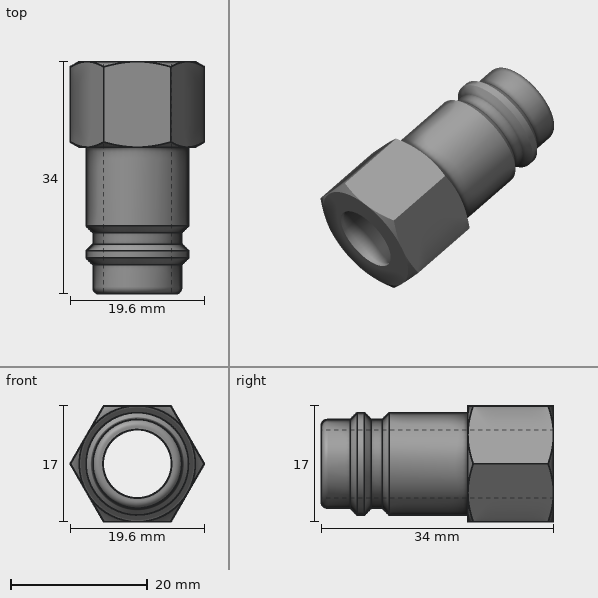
import cadquery as cq
import math

total_length = 34.0
hex_across_flats = 17.0
hex_length = 12.5
hex_chamfer_angle = 30.0
body_diameter = 15.0
neck_diameter = 13.0
bore_diameter = 10.0
nose_radius = 1.0

nose_length = 4.3
collar_width = 1.02
groove_width = 1.65

body_radius = body_diameter / 2
neck_radius = neck_diameter / 2
bevel = body_radius - neck_radius
collar_start = nose_length + bevel
collar_end = collar_start + collar_width
groove_start = collar_end + bevel
groove_end = groove_start + groove_width
body_start = groove_end + bevel
hex_start = total_length - hex_length


def revolve_about_y(profile):
    return profile.close().revolve(360, (0, 0, 0), (0, 1, 0))


def make_plug():
    """Turned body with a locking collar, groove and rounded nose."""
    arc_offset = nose_radius * (1 - math.sqrt(0.5))
    profile = (
        cq.Workplane("XY")
        .lineTo(neck_radius - nose_radius, 0)
        .threePointArc((neck_radius - arc_offset, arc_offset), (neck_radius, nose_radius))
        .lineTo(neck_radius, nose_length)
        .lineTo(body_radius, collar_start)
        .lineTo(body_radius, collar_end)
        .lineTo(neck_radius, groove_start)
        .lineTo(neck_radius, groove_end)
        .lineTo(body_radius, body_start)
        .lineTo(body_radius, total_length)
        .lineTo(0, total_length)
    )
    return revolve_about_y(profile)


def make_hex():
    """Hexagon with flats facing Z and its corners chamfered at both ends."""
    corner_radius = hex_across_flats / math.sqrt(3)
    flat_radius = hex_across_flats / 2
    chamfer_depth = (corner_radius - flat_radius) * math.tan(math.radians(hex_chamfer_angle))
    prism = (
        cq.Workplane("XZ", origin=(0, total_length, 0))
        .polygon(6, 2 * corner_radius)
        .extrude(hex_length)
    )
    envelope = revolve_about_y(
        cq.Workplane("XY")
        .moveTo(0, hex_start)
        .lineTo(flat_radius, hex_start)
        .lineTo(corner_radius, hex_start + chamfer_depth)
        .lineTo(corner_radius, total_length - chamfer_depth)
        .lineTo(flat_radius, total_length)
        .lineTo(0, total_length)
    )
    return prism.intersect(envelope)


bore = (
    cq.Workplane("XZ", origin=(0, total_length, 0))
    .circle(bore_diameter / 2)
    .extrude(total_length)
)

result = make_plug().union(make_hex()).cut(bore)